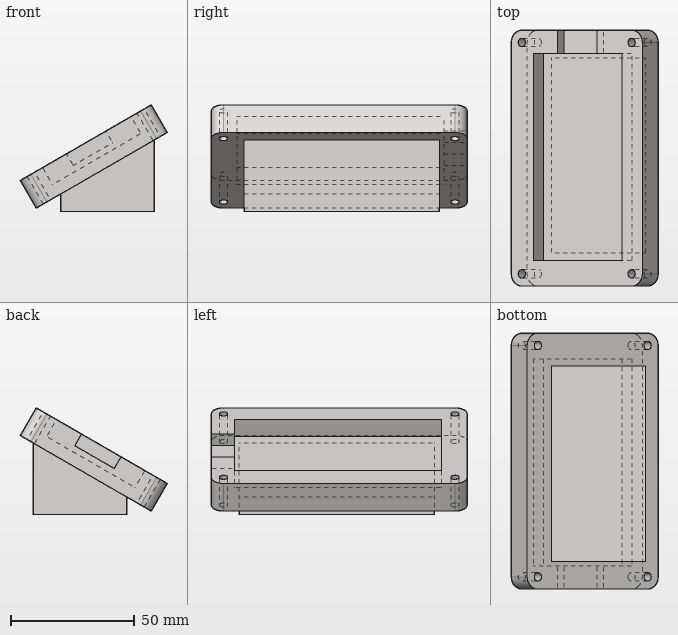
import cadquery as cq
import math

TILT = 30.0

CASE_WIDTH = 61.48
CASE_LENGTH = 103.98
CASE_THICKNESS = 13.0
CORNER_RADIUS = 5.0
CASE_CLEARANCE = 1.35

HOLE_DIAMETER = 3.4
HOLE_INSET = CORNER_RADIUS

POCKET_DEPTH = 8.0
POCKET_WALL = 10.0
POCKET_SHIFT = 0.5

NOTCH_DEPTH = 5.5
NOTCH_START = 21.7
NOTCH_WIDTH = 18.5

STAND_LEFT = 16.4
STAND_WIDTH = 38.1
STAND_LENGTH = 79.25
STAND_FRONT_INSET = 13.4

wide_wall = POCKET_WALL + POCKET_SHIFT
narrow_wall = POCKET_WALL - POCKET_SHIFT

tilt_sin = math.sin(math.radians(TILT))
tilt_cos = math.cos(math.radians(TILT))
case_low_x = CASE_THICKNESS * tilt_sin
case_front_y = -CASE_LENGTH / 2
case_frame = cq.Plane(
    origin=(case_low_x, case_front_y, CASE_CLEARANCE),
    xDir=(tilt_cos, 0, tilt_sin),
    normal=(-tilt_sin, 0, tilt_cos),
)


def case_block(x, y, width, length, bottom, height):
    """Block in the case frame, placed by its low front corner."""
    block = cq.Workplane(case_frame).box(width, length, height, centered=False)
    return block.translate(case_frame.toWorldCoords((x, y, bottom)) - case_frame.origin)


def make_case():
    """Tilted tray with rounded corners, four screw holes, a pocket and a cable notch."""
    outer = (
        cq.Workplane(case_frame)
        .rect(CASE_WIDTH, CASE_LENGTH, centered=False)
        .extrude(CASE_THICKNESS)
    )
    normal_edges = cq.selectors.ParallelDirSelector(case_frame.zDir)
    outer = outer.edges(normal_edges).fillet(CORNER_RADIUS)

    holes = (
        cq.Workplane(case_frame)
        .center(CASE_WIDTH / 2, CASE_LENGTH / 2)
        .rect(CASE_WIDTH - 2 * HOLE_INSET, CASE_LENGTH - 2 * HOLE_INSET, forConstruction=True)
        .vertices()
        .circle(HOLE_DIAMETER / 2)
        .extrude(CASE_THICKNESS)
    )

    pocket = case_block(
        wide_wall,
        wide_wall,
        CASE_WIDTH - 2 * POCKET_WALL,
        CASE_LENGTH - 2 * POCKET_WALL,
        CASE_THICKNESS - POCKET_DEPTH,
        POCKET_DEPTH,
    )

    notch = case_block(
        NOTCH_START,
        CASE_LENGTH - narrow_wall,
        NOTCH_WIDTH,
        narrow_wall,
        CASE_THICKNESS - NOTCH_DEPTH,
        NOTCH_DEPTH,
    )
    return outer.cut(holes).cut(pocket).cut(notch)


def case_underside_z(x):
    """Height of the case underside at world X."""
    return CASE_CLEARANCE + (x - case_low_x) * tilt_sin / tilt_cos


def make_stand():
    """Wedge on the ground whose sloped top carries the case."""
    stand_right = STAND_LEFT + STAND_WIDTH
    stand_front_y = case_front_y + STAND_FRONT_INSET
    profile = [
        (STAND_LEFT, 0),
        (stand_right, 0),
        (stand_right, case_underside_z(stand_right)),
        (STAND_LEFT, case_underside_z(STAND_LEFT)),
    ]
    return (
        cq.Workplane("XZ", origin=(0, stand_front_y, 0))
        .polyline(profile)
        .close()
        .extrude(-STAND_LENGTH)
    )


case = make_case()
stand = make_stand()

result = cq.Compound.makeCompound([case.val(), stand.val()])